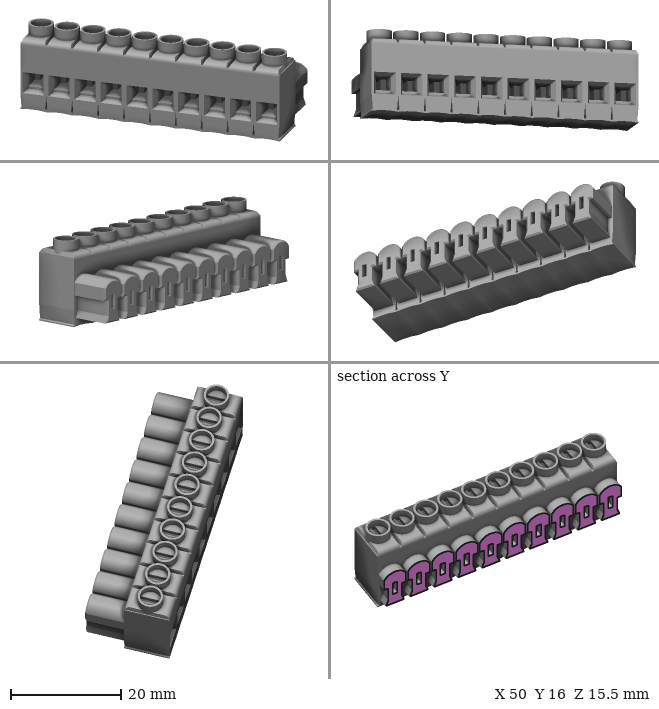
import cadquery as cq

POLE_COUNT = 10
PITCH = 5.0
ROW_LENGTH = POLE_COUNT * PITCH

TOTAL_DEPTH = 16.0
TOTAL_HEIGHT = 15.5
HOUSING_DEPTH = 8.55
HOUSING_TOP = 13.55
TOP_EDGE_RADIUS = 1.05

GROOVE_FLOOR = 12.8
POLE_BASE_WIDTH = 4.72
POLE_TOP_WIDTH = 4.2

SLIT_TOP = 3.15
FOOT_TOP = 0.45
FOOT_TIP = 0.25
SLIT_HALF_WIDTH = 0.23
FOOT_ARCH_RISE = 0.2

COLLAR_DIAMETER = 4.6
COLLAR_BORE = 3.8
COLLAR_ROOT = GROOVE_FLOOR
SCREW_RECESS = 1.5
DRIVER_SLOT_WIDTH = 0.9
DRIVER_SLOT_DEPTH = 0.8

ENTRY_SIZE = 4.05
ENTRY_BOTTOM = SLIT_TOP
THROAT_WIDTH = 2.9
THROAT_BOTTOM = 3.63
THROAT_TOP = 6.75
FUNNEL_DEPTH = 1.4
CHAMBER_FLOOR = 4.1
CHAMBER_BACK = 5.0
CONTACT_SLOT_WIDTH = 0.9

PLUG_WIDTH = COLLAR_DIAMETER
PLUG_TOP = 9.62
PLUG_SHOULDER = 8.27
PLUG_STEP = 5.88
PLUG_FLARE_TOP = 3.0
PLUG_BOTTOM = 1.65
PLUG_STEP_INSET = 0.85
PLUG_FOOT_INSET = 0.35
PLUG_END_CHAMFER = 0.3
PLUG_END_ANGLE = 45


def box_between(x0, x1, y0, y1, z0, z1):
    """Box given by its limits along each axis."""
    return cq.Workplane("XY").box(x1 - x0, y1 - y0, z1 - z0, centered=False).translate((x0, y0, z0))


def extrude_along_y(outline, y0, y1):
    """Extrude an outline drawn on the XZ plane from y0 to y1."""
    return outline.extrude(y0 - y1).translate((0, y0, 0))


def make_housing():
    """Full-length block with rounded upper front and rear edges."""
    block = box_between(0, ROW_LENGTH, 0, HOUSING_DEPTH, 0, HOUSING_TOP)
    return block.faces(">Z").edges("|X").fillet(TOP_EDGE_RADIUS)


def top_groove(boundary):
    """V-sided groove between the pole left of the boundary and the pole right of it."""
    floor_half = (PITCH - POLE_BASE_WIDTH) / 2
    mouth_half = (PITCH - POLE_TOP_WIDTH) / 2
    outline = cq.Workplane("XZ").polyline([
        (boundary - floor_half, GROOVE_FLOOR),
        (boundary + floor_half, GROOVE_FLOOR),
        (boundary + mouth_half, HOUSING_TOP),
        (boundary - mouth_half, HOUSING_TOP),
    ]).close()
    return extrude_along_y(outline, 0, HOUSING_DEPTH)


def bottom_slit(boundary):
    """Narrow slit that widens downward and closes again between the foot tips."""
    outline = cq.Workplane("XZ").polyline([
        (boundary, SLIT_TOP),
        (boundary + SLIT_HALF_WIDTH, FOOT_TOP),
        (boundary, FOOT_TIP),
        (boundary - SLIT_HALF_WIDTH, FOOT_TOP),
    ]).close()
    return extrude_along_y(outline, 0, HOUSING_DEPTH)


def foot_arch(cell_left):
    """Shallow arch under one pole."""
    outline = (
        cq.Workplane("XZ")
        .moveTo(cell_left, 0)
        .threePointArc((cell_left + PITCH / 2, FOOT_ARCH_RISE), (cell_left + PITCH, 0))
        .close()
    )
    return extrude_along_y(outline, 0, HOUSING_DEPTH)


def plug_outline(center):
    """Arched top, straight sides with a step below them, and a flared foot."""
    half = PLUG_WIDTH / 2
    waist = half - PLUG_STEP_INSET
    foot = half - PLUG_FOOT_INSET
    return (
        cq.Workplane("XZ")
        .moveTo(center - half, PLUG_SHOULDER)
        .threePointArc((center, PLUG_TOP), (center + half, PLUG_SHOULDER))
        .lineTo(center + half, PLUG_STEP)
        .lineTo(center + waist, PLUG_STEP)
        .lineTo(center + waist, PLUG_FLARE_TOP)
        .lineTo(center + foot, PLUG_BOTTOM)
        .lineTo(center - foot, PLUG_BOTTOM)
        .lineTo(center - waist, PLUG_FLARE_TOP)
        .lineTo(center - waist, PLUG_STEP)
        .lineTo(center - half, PLUG_STEP)
        .close()
    )


def plug(center):
    """Straight plug body closed by a short tapered end that acts as its chamfer."""
    taper_start = TOTAL_DEPTH - PLUG_END_CHAMFER
    body = extrude_along_y(plug_outline(center), HOUSING_DEPTH, taper_start)
    tapered_end = plug_outline(center).extrude(-PLUG_END_CHAMFER, taper=PLUG_END_ANGLE)
    return body.union(tapered_end.translate((0, taper_start, 0)))


def upright_cylinder(center, diameter, z0, z1):
    """Vertical cylinder on the screw axis of a pole."""
    axis_y = HOUSING_DEPTH / 2
    return cq.Workplane("XY", origin=(center, axis_y, z0)).circle(diameter / 2).extrude(z1 - z0)


def screw_recess(center):
    """Collar bore down to the screw head, with the driver slot in the head."""
    head = TOTAL_HEIGHT - SCREW_RECESS
    bore = upright_cylinder(center, COLLAR_BORE, head, TOTAL_HEIGHT)
    slot_limit = box_between(
        center - DRIVER_SLOT_WIDTH / 2, center + DRIVER_SLOT_WIDTH / 2,
        0, HOUSING_DEPTH,
        head - DRIVER_SLOT_DEPTH, head,
    )
    slot = upright_cylinder(center, COLLAR_BORE, head - DRIVER_SLOT_DEPTH, head).intersect(slot_limit)
    return bore.union(slot)


def wire_entry(center):
    """Funnel, clamping chamber and contact slot running through to the plug end."""
    mouth_middle = ENTRY_BOTTOM + ENTRY_SIZE / 2
    throat_middle = (THROAT_BOTTOM + THROAT_TOP) / 2
    funnel = (
        cq.Workplane("XZ")
        .center(center, mouth_middle)
        .rect(ENTRY_SIZE, ENTRY_SIZE)
        .workplane(offset=-FUNNEL_DEPTH)
        .center(0, throat_middle - mouth_middle)
        .rect(THROAT_WIDTH, THROAT_TOP - THROAT_BOTTOM)
        .loft(ruled=True)
    )
    chamber = box_between(
        center - THROAT_WIDTH / 2, center + THROAT_WIDTH / 2,
        FUNNEL_DEPTH, CHAMBER_BACK,
        CHAMBER_FLOOR, THROAT_TOP,
    )
    contact_slot = box_between(
        center - CONTACT_SLOT_WIDTH / 2, center + CONTACT_SLOT_WIDTH / 2,
        CHAMBER_BACK, TOTAL_DEPTH,
        CHAMBER_FLOOR, THROAT_TOP,
    )
    return funnel.union(chamber).union(contact_slot)


result = make_housing()

for index in range(POLE_COUNT + 1):
    boundary_x = index * PITCH
    result = result.cut(top_groove(boundary_x))
    result = result.cut(bottom_slit(boundary_x))

for index in range(POLE_COUNT):
    cell_left = index * PITCH
    pole_x = cell_left + PITCH / 2
    result = result.cut(foot_arch(cell_left))
    result = result.union(plug(pole_x))
    result = result.union(upright_cylinder(pole_x, COLLAR_DIAMETER, COLLAR_ROOT, TOTAL_HEIGHT))
    result = result.cut(screw_recess(pole_x))
    result = result.cut(wire_entry(pole_x))